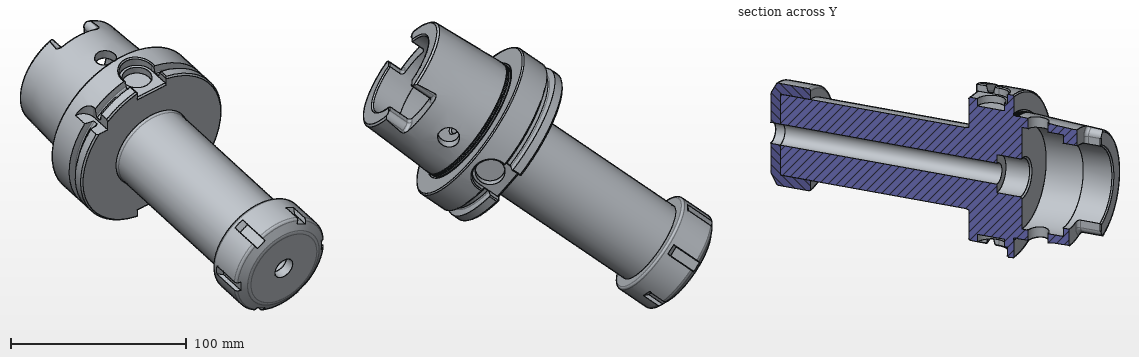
import cadquery as cq
import math


tolerance = 0.1

shank_length = 50.0
shank_end_radius = 35.4
shank_end_chamfer = 1.1
taper_slope = 1 / 20
relief_width = 2.6
relief_wall = 0.6
relief_depth = 0.25
relief_outer_radius = 38.8
relief_face_depth = 0.4

mouth_radius = 25.9
mouth_chamfer = 0.85
mouth_length = 19.0
clamp_radius = 31.0
cavity_floor_x = -5.0
tube_radius = 11.5
tube_depth = 16.0
tube_chamfer = 1.0
through_radius = 6.3

key_half_width = 10.3
key_round = 4.0
key_shoulder_height = 32.4
key_floor_fillet = 2.0
key_mouth_chamfer = 0.7
key_depth_top = 10.0
key_depth_bottom = 15.0
release_hole_radius = 6.2
release_hole_x = -15.1

flange_radius = 50.0
flange_length = 29.0
flange_front_chamfer = 0.8
flange_back_chamfer = 1.0
groove_center_x = 20.0
groove_top_width = 5.8
groove_floor_width = 3.4
groove_radius = 45.8
groove_fillet = 0.8

slot_center_x = 14.8
slot_half_width = 10.2
slot_floor_height = 44.0
slot_edge_chamfer = 0.8
chip_hole_radius = 8.5
chip_hole_depth = 4.5

notch_inset = 31.4
notch_radius = 7.6
notch_start_x = 8.4

arbor_radius = 25.0
arbor_collar_radius = 25.5
arbor_collar_length = 1.8

nut_back_x = 129.2
nut_front_x = 154.7
nut_radius = 31.5
nut_back_fillet = 1.4
nut_lip = 6.0
nut_face_radius = 24.5
nut_cone_angle = 60.0
nut_shoulder_fillet = 2.1
nut_face_fillet = 4.0
wrench_count = 6
wrench_width = 6.3
wrench_floor_radius = 28.6
wrench_overcut = 1.0
long_wrench_start_x = 132.7
short_wrench_start_x = 139.2

arbor_end_x = nut_front_x - nut_lip


def near_plane(x, reach):
    """Selector for edges that lie wholly within a distance along X of a given plane."""
    side = 2 * flange_radius
    return cq.selectors.BoxSelector((x - reach, -side, -side), (x + reach, side, side), boundingbox=True)


def revolve_about_x(profile):
    return profile.close().revolve(360, (0, 0, 0), (1, 0, 0))


def holder_blank():
    """Shank, flange and arbor turned in one piece, with a V groove in the flange."""
    taper_end_radius = shank_end_radius + (shank_length - relief_width) * taper_slope
    relief_radius = taper_end_radius - relief_depth
    half_top = groove_top_width / 2
    half_floor = groove_floor_width / 2
    profile = (
        cq.Workplane("XY")
        .moveTo(-shank_length, 0)
        .lineTo(-shank_length, shank_end_radius - shank_end_chamfer)
        .lineTo(-shank_length + shank_end_chamfer, shank_end_radius + shank_end_chamfer * taper_slope)
        .lineTo(-relief_width, taper_end_radius)
        .lineTo(-relief_width + relief_wall, relief_radius)
        .lineTo(-2 * relief_wall, relief_radius)
        .lineTo(-relief_wall, taper_end_radius)
        .lineTo(relief_face_depth, taper_end_radius)
        .lineTo(relief_face_depth, relief_outer_radius)
        .lineTo(0, relief_outer_radius)
        .lineTo(0, flange_radius - flange_front_chamfer)
        .lineTo(flange_front_chamfer, flange_radius)
        .lineTo(groove_center_x - half_top, flange_radius)
        .lineTo(groove_center_x - half_floor, groove_radius)
        .lineTo(groove_center_x + half_floor, groove_radius)
        .lineTo(groove_center_x + half_top, flange_radius)
        .lineTo(flange_length - flange_back_chamfer, flange_radius)
        .lineTo(flange_length, flange_radius - flange_back_chamfer)
        .lineTo(flange_length, arbor_collar_radius)
        .lineTo(flange_length + arbor_collar_length, arbor_radius)
        .lineTo(arbor_end_x, arbor_radius)
        .lineTo(arbor_end_x, 0)
    )
    groove_floor = cq.selectors.RadiusNthSelector(0)
    return (
        revolve_about_x(profile)
        .edges(near_plane(groove_center_x, half_floor + tolerance))
        .edges(groove_floor)
        .fillet(groove_fillet)
    )


def holder_bore():
    """Clamping cavity behind the mouth, coolant tube seat and through hole."""
    mouth_end_x = -shank_length + mouth_length
    tube_end_x = cavity_floor_x + tube_depth
    profile = (
        cq.Workplane("XY")
        .moveTo(-shank_length, 0)
        .lineTo(-shank_length, mouth_radius + mouth_chamfer)
        .lineTo(-shank_length + mouth_chamfer, mouth_radius)
        .lineTo(mouth_end_x, mouth_radius)
        .lineTo(mouth_end_x, clamp_radius)
        .lineTo(cavity_floor_x, clamp_radius)
        .lineTo(cavity_floor_x, tube_radius + tube_chamfer)
        .lineTo(cavity_floor_x + tube_chamfer, tube_radius)
        .lineTo(tube_end_x, tube_radius)
        .lineTo(tube_end_x, through_radius)
        .lineTo(arbor_end_x, through_radius)
        .lineTo(arbor_end_x, 0)
    )
    return revolve_about_x(profile)


def key_slot(depth):
    """Cutter for a +Z drive slot: its walls round outwards onto a flat shoulder."""
    outer = flange_radius
    mouth_half_width = key_half_width + key_mouth_chamfer
    wall_top = key_shoulder_height - key_round
    shoulder_start = key_half_width + key_round
    mouth = (
        cq.Workplane("XY")
        .moveTo(-shank_length, -mouth_half_width)
        .lineTo(-shank_length + key_mouth_chamfer, -key_half_width)
        .lineTo(-shank_length + key_mouth_chamfer, key_half_width)
        .lineTo(-shank_length, mouth_half_width)
        .close()
        .extrude(wall_top)
    )
    slot = (
        cq.Workplane("YZ", origin=(-shank_length, 0, 0))
        .moveTo(-key_half_width, 0)
        .lineTo(-key_half_width, wall_top)
        .radiusArc((-shoulder_start, key_shoulder_height), -key_round)
        .lineTo(-outer, key_shoulder_height)
        .lineTo(-outer, outer)
        .lineTo(outer, outer)
        .lineTo(outer, key_shoulder_height)
        .lineTo(shoulder_start, key_shoulder_height)
        .radiusArc((key_half_width, wall_top), -key_round)
        .lineTo(key_half_width, 0)
        .close()
        .extrude(depth)
        .faces(">X")
        .edges()
        .fillet(key_floor_fillet)
    )
    return slot.union(mouth)


def flange_slot():
    """Cutter for a +Z flange slot: round inner end, open at the back, blind hole in its floor."""
    height = flange_radius - slot_floor_height
    run_length = flange_length - slot_center_x
    floor = cq.Workplane("XY", origin=(slot_center_x, 0, slot_floor_height))
    round_end = floor.circle(slot_half_width).extrude(height)
    run = floor.center(run_length / 2, 0).rect(run_length, 2 * slot_half_width).extrude(height)
    hole = floor.circle(chip_hole_radius).extrude(-chip_hole_depth)
    return round_end.union(run).union(hole)


def chamfer_flange_slot(holder):
    """Chamfer the outer rim of the +Z flange slot and the back edge of its floor."""
    reach = slot_half_width + tolerance
    rim_bottom = math.sqrt(flange_radius**2 - slot_half_width**2) - tolerance
    groove_start = groove_center_x - groove_top_width / 2
    groove_end = groove_center_x + groove_top_width / 2
    front_rim = cq.selectors.BoxSelector(
        (slot_center_x - reach, -reach, rim_bottom),
        (groove_start + tolerance, reach, flange_radius + tolerance),
        boundingbox=True,
    )
    back_rim = cq.selectors.BoxSelector(
        (groove_end - tolerance, -reach, rim_bottom),
        (flange_length - flange_back_chamfer + tolerance, reach, flange_radius + tolerance),
        boundingbox=True,
    )
    back_edge = cq.selectors.BoxSelector(
        (flange_length - tolerance, -reach, slot_floor_height - tolerance),
        (flange_length + tolerance, reach, slot_floor_height + tolerance),
        boundingbox=True,
    )
    holder = holder.edges(front_rim).chamfer(slot_edge_chamfer)
    holder = holder.edges(back_rim).chamfer(slot_edge_chamfer)
    return holder.edges(back_edge).chamfer(flange_back_chamfer)


def orientation_notch():
    """Corner cutter with a flat floor, a flat side wall and a round inner end."""
    size = flange_radius - notch_inset
    return (
        cq.Workplane("XY")
        .box(flange_length - notch_start_x, size, size, centered=False)
        .edges("|Z and <X and >Y")
        .fillet(notch_radius)
        .translate((notch_start_x, -flange_radius, notch_inset))
    )


def make_holder():
    """Turned blank with its bore, drive slots, flange slots, notch and release hole."""
    holder = holder_blank().cut(holder_bore())
    half_turn = ((0, 0, 0), (1, 0, 0), 180)
    holder = holder.cut(key_slot(key_depth_top))
    holder = holder.cut(key_slot(key_depth_bottom).rotate(*half_turn))
    for _ in range(2):
        holder = chamfer_flange_slot(holder.cut(flange_slot())).rotate(*half_turn)
    holder = holder.cut(orientation_notch())
    release_hole = (
        cq.Workplane("XY", origin=(release_hole_x, 0, 0))
        .circle(release_hole_radius)
        .extrude(flange_radius, both=True)
    )
    return holder.cut(release_hole)


def wrench_slot(start_x):
    """Cutter for a -Y nut slot that ramps down at 45 degrees to its floor."""
    top = nut_radius + wrench_overcut
    return (
        cq.Workplane("XY")
        .moveTo(start_x - wrench_overcut, -top)
        .lineTo(start_x + nut_radius - wrench_floor_radius, -wrench_floor_radius)
        .lineTo(nut_front_x, -wrench_floor_radius)
        .lineTo(nut_front_x, -top)
        .close()
        .extrude(wrench_width / 2, both=True)
    )


def make_nut():
    """Cup over the arbor end; its wrench slots are long on the -Y side and short on the +Y side."""
    cone_length = (nut_radius - nut_face_radius) / math.tan(math.radians(nut_cone_angle))
    profile = (
        cq.Workplane("XY")
        .moveTo(nut_back_x, arbor_radius)
        .lineTo(nut_back_x, nut_radius)
        .lineTo(nut_front_x - cone_length, nut_radius)
        .lineTo(nut_front_x, nut_face_radius)
        .lineTo(nut_front_x, through_radius)
        .lineTo(arbor_end_x, through_radius)
        .lineTo(arbor_end_x, arbor_radius)
    )
    nut = revolve_about_x(profile)
    outermost = cq.selectors.RadiusNthSelector(-1)
    for x, fillet_radius in (
        (nut_back_x, nut_back_fillet),
        (nut_front_x - cone_length, nut_shoulder_fillet),
        (nut_front_x, nut_face_fillet),
    ):
        nut = nut.edges(near_plane(x, tolerance)).edges(outermost).fillet(fillet_radius)
    for index in range(wrench_count):
        angle = index * 360 / wrench_count
        faces_front = math.cos(math.radians(angle)) > 0
        start_x = long_wrench_start_x if faces_front else short_wrench_start_x
        nut = nut.cut(wrench_slot(start_x).rotate((0, 0, 0), (1, 0, 0), angle))
    return nut


holder = make_holder()
nut = make_nut()
result = cq.Compound.makeCompound([holder.val(), nut.val()])